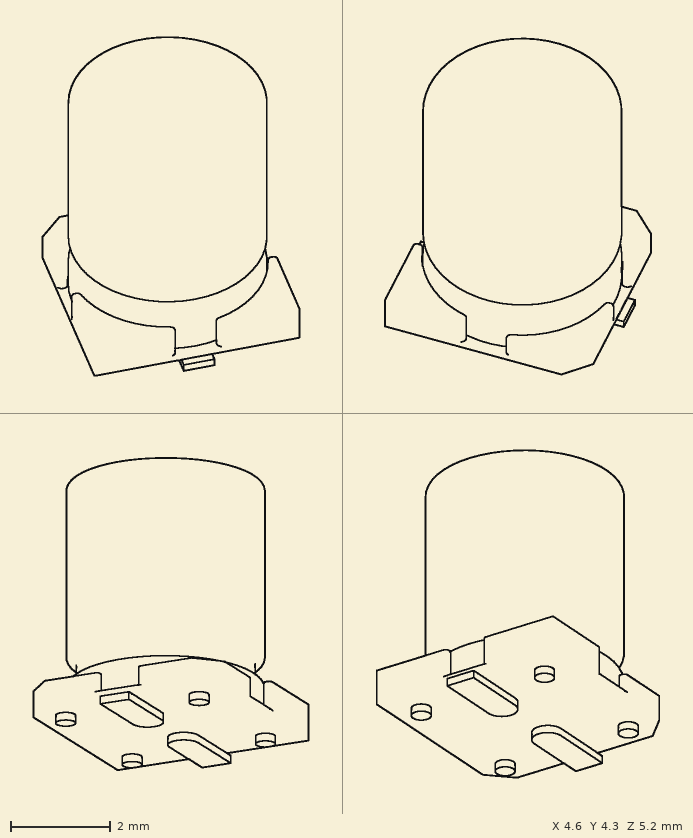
import cadquery as cq
import math

TOTAL_HEIGHT = 5.2
BASE_BOTTOM = 0.16
POCKET_FLOOR = 0.34
LOW_CORNER_TOP = 0.735
HIGH_CORNER_TOP = 0.935

BASE_SIZE = 4.3
CORNER_CHAMFER = 0.5
POCKET_GAP = 0.02
NOTCH_HALF_WIDTH = 0.435
NOTCH_ROUNDING = 0.085
EDGE_ROUNDING = 0.02
PICK_MARGIN = 0.005

CAN_RADIUS = 4.0 / 2
NECK_RADIUS = 3.6 / 2
CAN_ROUNDING = 0.08
RIM_TOP = 1.015
SHELL_BOTTOM = 1.535

FOOT_DIAMETER = 0.4
FOOT_OFFSET = 1.5
TERMINAL_SPAN = 4.6
TERMINAL_WIDTH = 0.645
TERMINAL_INNER_GAP = 1.0

HALF_BASE = BASE_SIZE / 2
POCKET_RADIUS = CAN_RADIUS + POCKET_GAP


def make_corner(x_side, y_side, top):
    """One corner block, bounded by two notch walls, two outer sides and the round pocket."""
    pocket_reach = math.sqrt(POCKET_RADIUS**2 - NOTCH_HALF_WIDTH**2)
    pocket_mid = POCKET_RADIUS * math.sqrt(0.5)
    block = (
        cq.Workplane("XY", origin=(0, 0, BASE_BOTTOM))
        .moveTo(NOTCH_HALF_WIDTH, HALF_BASE)
        .lineTo(HALF_BASE, HALF_BASE)
        .lineTo(HALF_BASE, NOTCH_HALF_WIDTH)
        .lineTo(pocket_reach, NOTCH_HALF_WIDTH)
        .threePointArc((pocket_mid, pocket_mid), (NOTCH_HALF_WIDTH, pocket_reach))
        .close()
        .extrude(top - BASE_BOTTOM)
    )
    for wall_end in (HALF_BASE, pocket_reach):
        for x, y in ((wall_end, NOTCH_HALF_WIDTH), (NOTCH_HALF_WIDTH, wall_end)):
            corner = cq.selectors.BoxSelector(
                (x - PICK_MARGIN, y - PICK_MARGIN, BASE_BOTTOM),
                (x + PICK_MARGIN, y + PICK_MARGIN, top),
            )
            block = block.edges("|Z").edges(corner).fillet(NOTCH_ROUNDING)
    if x_side < 0:
        block = block.mirror("YZ")
    if y_side < 0:
        block = block.mirror("XZ")
    return block


def make_base():
    base = (
        cq.Workplane("XY", origin=(0, 0, BASE_BOTTOM))
        .rect(BASE_SIZE, BASE_SIZE)
        .extrude(POCKET_FLOOR - BASE_BOTTOM)
    )
    for y_side in (-1, 1):
        base = base.union(make_corner(-1, y_side, LOW_CORNER_TOP))
        base = base.union(make_corner(1, y_side, HIGH_CORNER_TOP))
    base = base.edges("|Z and <X").chamfer(CORNER_CHAMFER)
    softened = base.faces("<Z or >Z or >Z[-2] or <X or >X or <Y or >Y")
    return softened.edges().fillet(EDGE_ROUNDING)


def make_can():
    """Revolved can: lower rim, narrow neck and tall shell, all with rounded shoulders."""
    r = CAN_ROUNDING
    k = r * math.sqrt(0.5)
    outer = CAN_RADIUS - r
    neck = NECK_RADIUS + r
    profile = (
        cq.Workplane("XZ")
        .moveTo(0, POCKET_FLOOR)
        .lineTo(CAN_RADIUS, POCKET_FLOOR)
        .lineTo(CAN_RADIUS, RIM_TOP - r)
        .threePointArc((outer + k, RIM_TOP - r + k), (outer, RIM_TOP))
        .lineTo(neck, RIM_TOP)
        .threePointArc((neck - k, RIM_TOP + r - k), (NECK_RADIUS, RIM_TOP + r))
        .lineTo(NECK_RADIUS, SHELL_BOTTOM - r)
        .threePointArc((neck - k, SHELL_BOTTOM - r + k), (neck, SHELL_BOTTOM))
        .lineTo(outer, SHELL_BOTTOM)
        .threePointArc((outer + k, SHELL_BOTTOM + r - k), (CAN_RADIUS, SHELL_BOTTOM + r))
        .lineTo(CAN_RADIUS, TOTAL_HEIGHT - r)
        .threePointArc((outer + k, TOTAL_HEIGHT - r + k), (outer, TOTAL_HEIGHT))
        .lineTo(0, TOTAL_HEIGHT)
        .close()
    )
    return profile.revolve(360, (0, 0, 0), (0, 1, 0))


def make_feet():
    return (
        cq.Workplane("XY")
        .rect(2 * FOOT_OFFSET, 2 * FOOT_OFFSET, forConstruction=True)
        .vertices()
        .circle(FOOT_DIAMETER / 2)
        .extrude(BASE_BOTTOM)
    )


def make_terminal(side):
    """Flat terminal with a square outer end and a semicircular inner end."""
    half_width = TERMINAL_WIDTH / 2
    tip = TERMINAL_INNER_GAP / 2
    return (
        cq.Workplane("XY")
        .moveTo(side * TERMINAL_SPAN / 2, -half_width)
        .lineTo(side * (tip + half_width), -half_width)
        .threePointArc((side * tip, 0), (side * (tip + half_width), half_width))
        .lineTo(side * TERMINAL_SPAN / 2, half_width)
        .close()
        .extrude(BASE_BOTTOM)
    )


result = make_base().union(make_can()).union(make_feet())
for side in (-1, 1):
    result = result.union(make_terminal(side))